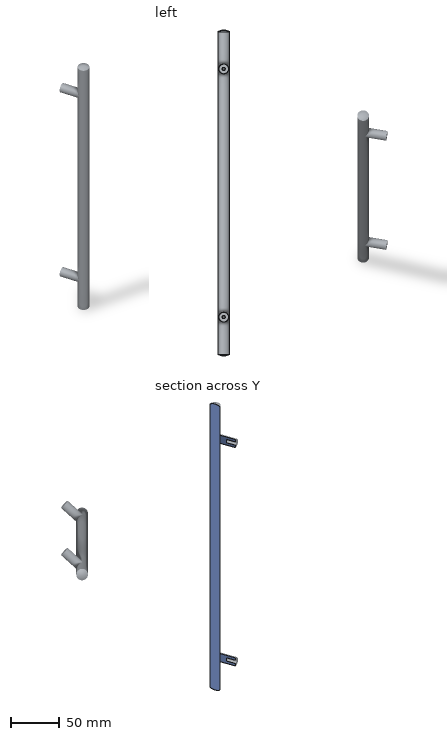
import cadquery as cq

bar_length = 336.0
bar_diameter = 12.0
dome_height = 1.7
post_diameter = 10.0
post_spacing = 256.0
post_reach = 25.0
screw_hole_diameter = 3.23
screw_hole_depth = 10.8

bar_radius = bar_diameter / 2
half_length = bar_length / 2
shoulder_height = half_length - dome_height
dome_radius = (bar_radius**2 + dome_height**2) / (2 * dome_height)
dome_centre_height = half_length - dome_radius
dome_mid_x = bar_radius / 2
dome_mid_z = dome_centre_height + (dome_radius**2 - dome_mid_x**2) ** 0.5


def make_bar():
    """Round bar with a shallow dome on each end."""
    half_profile = (
        cq.Workplane("XZ")
        .moveTo(0, -half_length)
        .threePointArc((dome_mid_x, -dome_mid_z), (bar_radius, -shoulder_height))
        .lineTo(bar_radius, shoulder_height)
        .threePointArc((dome_mid_x, dome_mid_z), (0, half_length))
        .close()
    )
    return half_profile.revolve(360, (0, 0, 0), (0, 1, 0))


def make_post(axis_height, bar):
    """Post coped to fit against the bar, with a blind screw hole in its mounting face."""
    mounting_face = cq.Workplane("YZ", origin=(-post_reach, 0, axis_height))
    post = mounting_face.circle(post_diameter / 2).extrude(post_reach)
    screw_hole = mounting_face.circle(screw_hole_diameter / 2).extrude(screw_hole_depth)
    return post.cut(bar).cut(screw_hole)


bar = make_bar()
posts = [make_post(side * post_spacing / 2, bar) for side in (-1, 1)]

result = cq.Compound.makeCompound([bar.val(), *[post.val() for post in posts]])